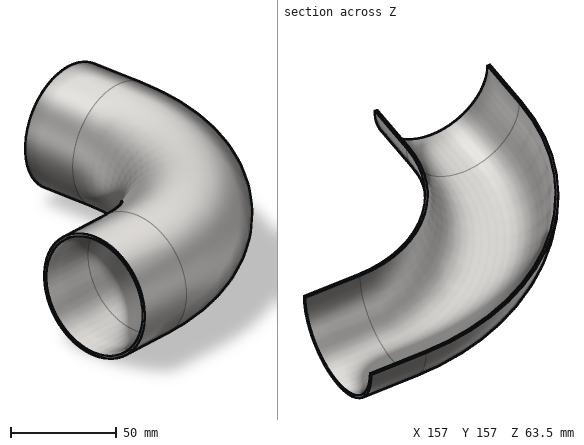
import cadquery as cq

OUTER_DIAMETER = 63.5
INNER_DIAMETER = 60.5
BEND_RADIUS = 1.5 * OUTER_DIAMETER
BEND_ANGLE = 90.0
STRAIGHT_LENGTH = 30.0



def tube_ring(plane):
    """Sketch the tube cross-section, a ring centred on the plane's origin."""
    return cq.Workplane(plane).circle(OUTER_DIAMETER / 2).circle(INNER_DIAMETER / 2)


def straight_end(origin, x_direction, outward):
    """Straight tube starting at the end of the bend and running outward."""
    plane = cq.Plane(origin=origin, xDir=x_direction, normal=outward)
    return tube_ring(plane).extrude(STRAIGHT_LENGTH)


def bend():
    """Quarter-turn elbow, revolved about the Z axis through the bend centre."""
    plane = cq.Plane(origin=(BEND_RADIUS, 0, 0), xDir=(1, 0, 0), normal=(0, -1, 0))
    axis_start = (-BEND_RADIUS, 0)
    axis_end = (-BEND_RADIUS, 1)
    return tube_ring(plane).revolve(BEND_ANGLE, axis_start, axis_end)


end_toward_minus_x = straight_end((0, BEND_RADIUS, 0), (0, 1, 0), (-1, 0, 0))
end_toward_minus_y = straight_end((BEND_RADIUS, 0, 0), (1, 0, 0), (0, -1, 0))

result = bend().union(end_toward_minus_x).union(end_toward_minus_y)